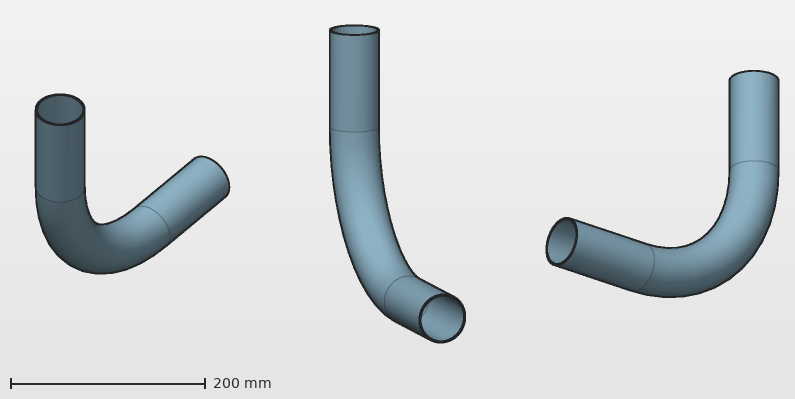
import cadquery as cq

overall = 279.5
outer_diameter = 50.9
inner_diameter = 47.5
bend_radius = 3 * outer_diameter

leg_length = overall - bend_radius - outer_diameter / 2


def tube(plane):
    """Sketch the tube's ring section on the given plane."""
    return cq.Workplane(plane).circle(outer_diameter / 2).circle(inner_diameter / 2)


upright_leg = tube("XY").extrude(leg_length)

elbow = tube("XY").revolve(90, (0, bend_radius, 0), (1, bend_radius, 0))

horizontal_leg_plane = cq.Plane(
    origin=(0, bend_radius, -bend_radius), xDir=(1, 0, 0), normal=(0, 1, 0)
)
horizontal_leg = tube(horizontal_leg_plane).extrude(leg_length)

result = upright_leg.union(elbow).union(horizontal_leg)